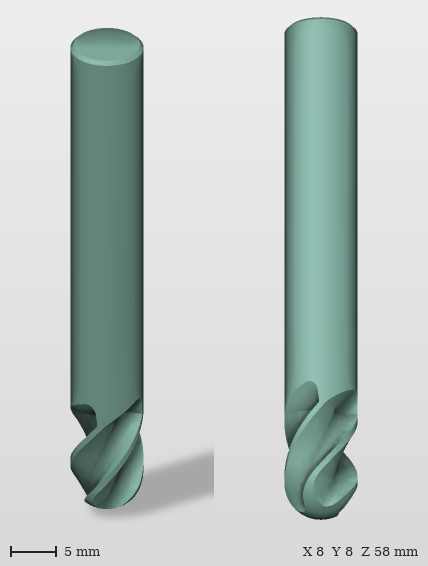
import cadquery as cq
import math

TOTAL_LENGTH = 58.0
RADIUS = 4.0
HEAD_LENGTH = 22.0
SHANK_CHAMFER = 0.4

FLUTE_COUNT = 4
FLUTE_LENGTH = 12.0
HELIX_ANGLE = 40.0
TIP_ANGLE = 2.0
LAND_ANGLE = 11.0
RAKE_END_RADIUS = 2.85
CORE_RADIUS = 2.0
CORE_ANGLE = 36.0
BACK_RADIUS = 2.95
BACK_ANGLE = 62.0

RUNOUT_HEIGHT = 3.5
RUNOUT_SHIFT = 3.0
RUNOUT_ANGLE = -8.0
CLEARANCE_RADIUS = 2 * RADIUS

FLUTE_STEP = 360.0 / FLUTE_COUNT
TWIST = math.degrees(FLUTE_LENGTH * math.tan(math.radians(HELIX_ANGLE)) / RADIUS)
TOP_ANGLE = TIP_ANGLE + TWIST


def polar(radius, angle):
    """Point in the XY plane at a radius and an angle in degrees."""
    return (radius * math.cos(math.radians(angle)), radius * math.sin(math.radians(angle)))


def make_shank():
    return (
        cq.Workplane("XY")
        .workplane(offset=HEAD_LENGTH)
        .circle(RADIUS)
        .extrude(TOTAL_LENGTH - HEAD_LENGTH)
        .faces(">Z")
        .chamfer(SHANK_CHAMFER)
    )


def add_flute(outline, edge):
    """Continue an outline from a cutting edge through its flute to the land of the next tooth."""
    return (
        outline.lineTo(*polar(RAKE_END_RADIUS, edge))
        .tangentArcPoint(polar(CORE_RADIUS, edge - CORE_ANGLE), relative=False)
        .threePointArc(
            polar(BACK_RADIUS, edge - BACK_ANGLE),
            polar(RADIUS, edge - FLUTE_STEP + LAND_ANGLE),
        )
    )


def fluted_section():
    """Cross-section of the four teeth, with the first cutting edge on +X."""
    section = cq.Workplane("XY").moveTo(*polar(RADIUS, 0))
    for index in range(FLUTE_COUNT):
        edge = -index * FLUTE_STEP
        next_edge = edge - FLUTE_STEP
        section = add_flute(section, edge).threePointArc(
            polar(RADIUS, next_edge + LAND_ANGLE / 2), polar(RADIUS, next_edge)
        )
    return section.close()


def make_fluted_end():
    """Twisted teeth with their tips rounded to a hemisphere."""
    teeth = (
        fluted_section()
        .twistExtrude(FLUTE_LENGTH, TWIST)
        .rotate((0, 0, 0), (0, 0, 1), TIP_ANGLE)
    )
    ball_nose = (
        cq.Workplane("XY")
        .circle(CLEARANCE_RADIUS)
        .extrude(RADIUS)
        .cut(cq.Workplane("XY").sphere(RADIUS).translate((0, 0, RADIUS)))
    )
    return teeth.cut(ball_nose)


def make_runout(index):
    """Slanted prism that carries one flute's section up and out of the cylinder."""
    far_angle = -FLUTE_STEP + LAND_ANGLE
    start = cq.Workplane("XY").moveTo(*polar(CLEARANCE_RADIUS, 0))
    outline = add_flute(start, 0).lineTo(*polar(CLEARANCE_RADIUS, far_angle)).close()
    profile = outline.wires().val()
    shift = cq.Vector(*polar(RUNOUT_SHIFT, RUNOUT_ANGLE), RUNOUT_HEIGHT)
    prism = cq.Solid.extrudeLinear(cq.Face.makeFromWires(profile), shift)
    return (
        cq.Workplane(prism)
        .rotate((0, 0, 0), (0, 0, 1), TOP_ANGLE + index * FLUTE_STEP)
        .translate((0, 0, FLUTE_LENGTH))
    )


def make_cutting_head():
    head = (
        cq.Workplane("XY")
        .workplane(offset=FLUTE_LENGTH)
        .circle(RADIUS)
        .extrude(HEAD_LENGTH - FLUTE_LENGTH)
    )
    for index in range(FLUTE_COUNT):
        head = head.cut(make_runout(index))
    return head.union(make_fluted_end())


shank = make_shank()
cutting_head = make_cutting_head()

result = cq.Compound.makeCompound([shank.val(), *cutting_head.solids().vals()])